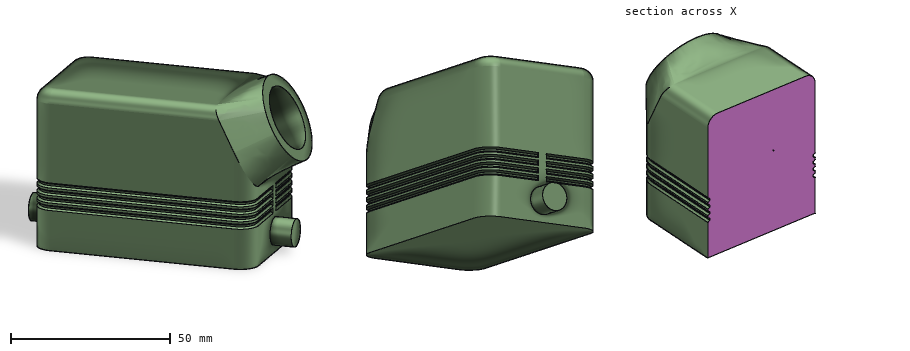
import math

import cadquery as cq

BODY_LENGTH = 73.0
BODY_WIDTH = 43.0
BODY_HEIGHT = 52.0
CORNER_RADIUS = 6.0
TOP_FILLET = 4.0

OUTLET_TILT = 26.64
OUTLET_DIAMETER = 29.0
OUTLET_REACH = 12.0
BORE_DIAMETER = 21.2
BORE_DEPTH = 10.0

GROOVE_COUNT = 4
GROOVE_PITCH = 2.45
GROOVE_MOUTH = 1.65
GROOVE_FLOOR = 0.6
GROOVE_DEPTH = 0.8
FIRST_GROOVE_Z = 14.0
GROOVE_GAP = 3.0

PIN_DIAMETER = 9.0
PIN_LENGTH = 7.0
PIN_Z = 7.0

END_X = BODY_LENGTH / 2
SIDE_Y = BODY_WIDTH / 2
TILT = math.radians(OUTLET_TILT)
AXIS = cq.Vector(math.cos(TILT), 0, math.sin(TILT))
UPHILL = cq.Vector(-math.sin(TILT), 0, math.cos(TILT))
CUT_BOTTOM = cq.Vector(END_X, 0, BODY_HEIGHT - OUTLET_DIAMETER * math.cos(TILT))
CUT_CENTER = CUT_BOTTOM + UPHILL * (OUTLET_DIAMETER / 2)
OUTLET_CENTER = CUT_CENTER + AXIS * OUTLET_REACH


def cut_plane(origin):
    """Plane square to the outlet axis: local X is +Y, local Y points uphill."""
    return cq.Plane(origin=origin, xDir=cq.Vector(0, 1, 0), normal=AXIS)


def body():
    """Rounded block with its upper +X end cut off square to the outlet axis."""
    block = (
        cq.Workplane("XY")
        .box(BODY_LENGTH, BODY_WIDTH, BODY_HEIGHT, centered=(True, True, False))
        .edges("|Z")
        .fillet(CORNER_RADIUS)
        .faces(">Z")
        .edges()
        .fillet(TOP_FILLET)
    )
    waste_size = 2 * BODY_WIDTH
    waste = cq.Workplane(cut_plane(CUT_CENTER)).rect(waste_size, waste_size).extrude(waste_size)
    return block.cut(waste)


def outlet_point(angle):
    """Point on the outlet rim at an angle from its top, towards +Y."""
    radius = OUTLET_DIAMETER / 2
    sideways = cq.Vector(0, radius * math.sin(angle), 0)
    return OUTLET_CENTER + UPHILL * (radius * math.cos(angle)) + sideways


def rim_angles(section):
    """Angles from the rim top facing the +Y corners of the section, in proportion to edge length."""
    side_edges = [edge for edge in section.Edges() if edge.Center().y > SIDE_Y / 2]
    side_edges.sort(key=lambda edge: edge.Center().z, reverse=True)
    half_top = SIDE_Y - TOP_FILLET
    half_bottom = SIDE_Y - CORNER_RADIUS
    half_perimeter = half_top + sum(edge.Length() for edge in side_edges) + half_bottom
    distance = half_top
    angles = [math.pi * distance / half_perimeter]
    for edge in side_edges:
        distance += edge.Length()
        angles.append(math.pi * distance / half_perimeter)
    return angles


def outlet(cut_body):
    """Skin from the cut section to the round rim, each section edge joined to its own rim arc."""
    section = cut_body.faces(cq.selectors.DirectionMinMaxSelector(AXIS, True)).val().outerWire()
    side_angles = rim_angles(section)
    angles = side_angles + [2 * math.pi - angle for angle in reversed(side_angles)]
    arcs = []
    for start, end in zip(angles, angles[1:] + [angles[0] + 2 * math.pi]):
        middle = (start + end) / 2
        arcs.append(cq.Edge.makeThreePointArc(outlet_point(start), outlet_point(middle), outlet_point(end)))
    rim = cq.Wire.assembleEdges(arcs)
    return cq.Workplane(obj=cq.Solid.makeLoft([section, rim], True))


def bore():
    """Blind cable hole sunk from the outlet face."""
    return cq.Workplane(cut_plane(OUTLET_CENTER)).circle(BORE_DIAMETER / 2).extrude(-BORE_DEPTH)


def groove(z):
    """Trapezoidal groove around the body, interrupted at the middle of both end walls."""
    path = (
        cq.Workplane("XY", origin=(0, 0, z))
        .moveTo(0, -SIDE_Y)
        .lineTo(END_X - CORNER_RADIUS, -SIDE_Y)
        .tangentArcPoint((CORNER_RADIUS, CORNER_RADIUS))
        .lineTo(END_X, -GROOVE_GAP / 2)
    )
    quarter = (
        cq.Workplane("YZ", origin=(0, -SIDE_Y, z))
        .moveTo(0, -GROOVE_MOUTH / 2)
        .lineTo(GROOVE_DEPTH, -GROOVE_FLOOR / 2)
        .lineTo(GROOVE_DEPTH, GROOVE_FLOOR / 2)
        .lineTo(0, GROOVE_MOUTH / 2)
        .close()
        .sweep(path)
    )
    half = quarter.union(quarter.mirror("YZ"))
    return half.union(half.mirror("XZ"))


def pin(end_sign):
    """Round locking pin standing out from one end wall."""
    root = cq.Plane(origin=(end_sign * END_X, 0, PIN_Z), xDir=(0, 1, 0), normal=(end_sign, 0, 0))
    return cq.Workplane(root).circle(PIN_DIAMETER / 2).extrude(PIN_LENGTH)


hood = body()
result = hood.union(outlet(hood)).cut(bore())
for index in range(GROOVE_COUNT):
    result = result.cut(groove(FIRST_GROOVE_Z + index * GROOVE_PITCH))
for end_sign in (-1, 1):
    result = result.union(pin(end_sign))